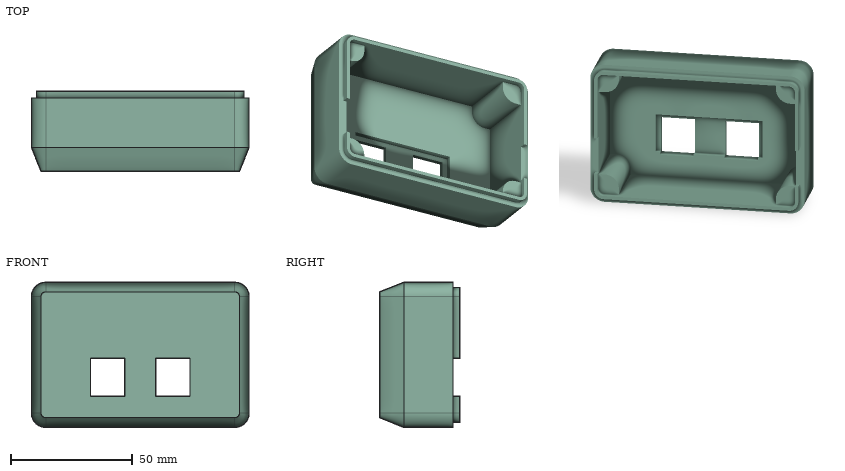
import cadquery as cq
import math

width = 90.0
height = 60.0
depth = 33.2
taper_depth = 10.0
taper_inset = 4.0
corner_radius = 6.0
rim_depth = 2.8
rim_inset = 2.1
body_depth = depth - rim_depth

wall = 3.5
front_thickness = 4.7
cavity_radius = corner_radius - wall

window_width = 14.1
window_bottom = -17.1
window_top = -1.5
window_spacing = 27.0

face_thickness = 2.1
pocket_clearance = 2.0
ledge_height = 1.1
pocket_width = window_spacing + window_width + 2 * pocket_clearance
pocket_bottom = window_bottom + ledge_height
pocket_top = window_top + pocket_clearance

boss_radius = 6.0
boss_x = width / 2 - corner_radius
boss_z = height / 2 - corner_radius


def block(x_min, x_max, y_min, y_max, z_min, z_max):
    """Axis-aligned box given by its limits."""
    size = (x_max - x_min, y_max - y_min, z_max - z_min)
    return cq.Workplane("XY").box(*size, centered=False).translate((x_min, y_min, z_min))


def rounded_block(inset, radius, y_min, y_max):
    """Block set in from the outer outline, with its corners rounded along Y."""
    half_x = width / 2 - inset
    half_z = height / 2 - inset
    return block(-half_x, half_x, y_min, y_max, -half_z, half_z).edges("|Y").fillet(radius)


def tapered_front():
    """Drafted front section, narrowing towards the front face."""
    draft = math.degrees(math.atan(taper_inset / taper_depth))
    return (
        cq.Workplane("XZ", origin=(0, taper_depth, 0))
        .sketch()
        .rect(width, height)
        .vertices()
        .fillet(corner_radius)
        .finalize()
        .extrude(taper_depth, taper=draft)
    )


def cavity():
    """Interior space open at the rear, less the four corner bosses."""
    space = rounded_block(wall, cavity_radius, front_thickness, depth)
    for side_x in (-1, 1):
        for side_z in (-1, 1):
            space = space.cut(corner_boss(side_x, side_z))
    return space


def corner_boss(side_x, side_z):
    """Round boss along Y, joined by flat flanks to the two walls of its corner."""
    length = body_depth - front_thickness
    centre = (side_x * boss_x, front_thickness, side_z * boss_z)
    boss = cq.Workplane("XZ", origin=centre).circle(boss_radius).extrude(-length)
    inner_x = boss_x - boss_radius
    inner_z = boss_z - boss_radius
    flank_spans = (
        (inner_x, width / 2, boss_z, height / 2),
        (boss_x, width / 2, inner_z, height / 2),
    )
    for x_near, x_far, z_near, z_far in flank_spans:
        xs = sorted((side_x * x_near, side_x * x_far))
        zs = sorted((side_z * z_near, side_z * z_far))
        boss = boss.union(block(*xs, front_thickness, body_depth, *zs))
    return boss


def jack_windows():
    """Two rectangular openings through the front plate."""
    windows = cq.Workplane("XY")
    for side in (-1, 1):
        centre_x = side * window_spacing / 2
        windows = windows.add(
            block(
                centre_x - window_width / 2,
                centre_x + window_width / 2,
                0,
                front_thickness,
                window_bottom,
                window_top,
            )
        )
    return windows.combine()


def jack_pocket():
    """Recess in the inner side of the front plate, leaving a ledge below the windows."""
    half = pocket_width / 2
    return block(-half, half, face_thickness, front_thickness, pocket_bottom, pocket_top)


def rim_gap():
    """Passage across both side rims, level with the windows."""
    return block(-width / 2, width / 2, body_depth, depth, window_bottom, window_top)


body = tapered_front().union(rounded_block(0, corner_radius, taper_depth, body_depth))
body = body.union(rounded_block(rim_inset, corner_radius - rim_inset, body_depth, depth))
body = body.cut(cavity())
body = body.cut(jack_windows())
body = body.cut(jack_pocket())
body = body.cut(rim_gap())

result = body.translate((0, -depth / 2, 0))